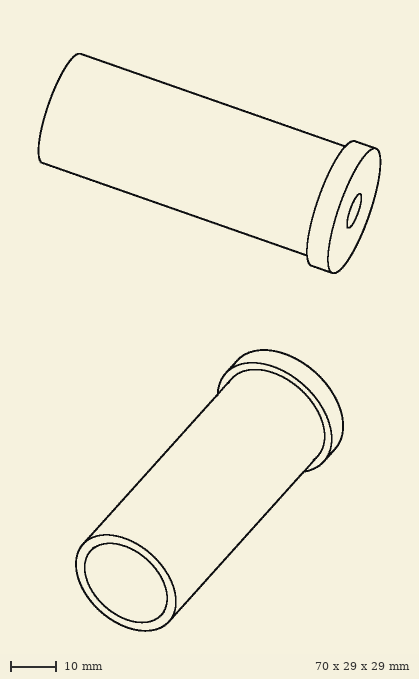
import cadquery as cq

total_length = 70.0
flange_thickness = 5.05
flange_diameter = 29.0
tube_diameter = 25.4
bore_diameter = 20.9
hole_diameter = 7.9

tube_length = total_length - flange_thickness


def cylinder_along_x(start, length, diameter):
    """Solid cylinder on the X axis, running from start toward +X."""
    return cq.Workplane("YZ", origin=(start, 0, 0)).circle(diameter / 2).extrude(length)


tube = cylinder_along_x(0, tube_length, tube_diameter)
flange = cylinder_along_x(tube_length, flange_thickness, flange_diameter)

bore = cylinder_along_x(0, tube_length, bore_diameter)

end_hole = cylinder_along_x(tube_length, flange_thickness, hole_diameter)

result = tube.union(flange).cut(bore).cut(end_hole)